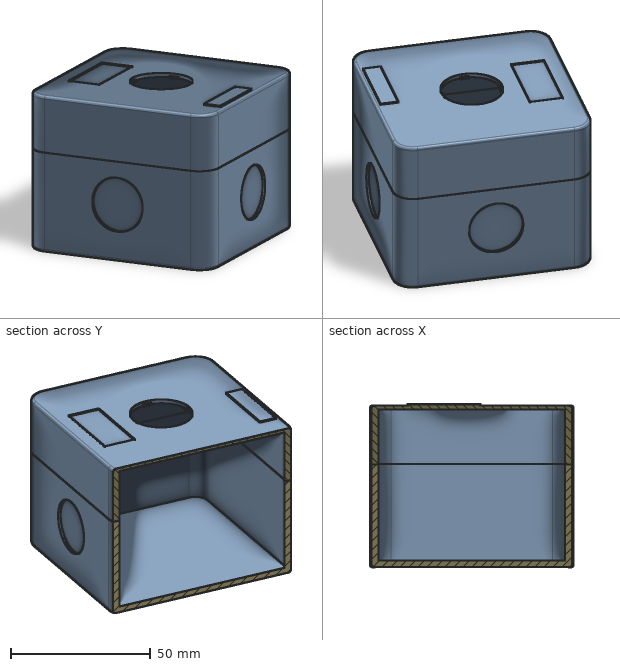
import cadquery as cq

side = 73.0
overall_height = 58.5
plate_rise = 0.45
enclosure_height = overall_height - plate_rise
seam_height = 37.0
corner_radius = 7.5
edge_radius = 1.1

wall = 2.5
roof_thickness = 1.5
roof_bottom = enclosure_height - roof_thickness
inner_side = side - 2 * wall
inner_corner_radius = corner_radius - wall

knockout_diameter = 20.0
knockout_depth = 1.0
knockout_height = 21.0

quarter_turns = (0, 90, 180, 270)

hole_diameter = 22.5
tab_width = 3.2
tab_reach = 0.95
tab_thickness = 0.5

pocket_length_x = 12.1
pocket_length_y = 27.95
pocket_depth = 0.45
pocket_center_x = -24.1
plate_length_x = 6.6
plate_length_y = 26.05
plate_center_x = 31.2
plate_center_y = -9.9


def rounded_block(width, radius, bottom, top):
    """Square block with rounded vertical corners, centred on the Z axis."""
    block = cq.Workplane("XY").workplane(offset=bottom).rect(width, width).extrude(top - bottom)
    return block.edges("|Z").fillet(radius)


def make_knockout(angle):
    """Shallow disc cut into one side of the base; angle 0 is the +X side."""
    disc = (
        cq.Workplane("YZ")
        .workplane(offset=side / 2 - knockout_depth)
        .center(0, knockout_height)
        .circle(knockout_diameter / 2)
        .extrude(knockout_depth)
    )
    return disc.rotate((0, 0, 0), (0, 0, 1), angle)


def make_base():
    """Open-topped box with a knockout recess in each side."""
    base = rounded_block(side, corner_radius, 0, seam_height)
    base = base.faces("<Z").edges().fillet(edge_radius)
    base = base.cut(rounded_block(inner_side, inner_corner_radius, wall, seam_height))
    for angle in quarter_turns:
        base = base.cut(make_knockout(angle))
    return base


def make_hole():
    """Round through hole with the four tabs left standing at its lower end."""
    roof = cq.Workplane("XY").workplane(offset=roof_bottom)
    hole = roof.circle(hole_diameter / 2).extrude(roof_thickness)
    tab_center = (hole_diameter - tab_reach) / 2
    for angle in quarter_turns:
        tab = roof.center(tab_center, 0).rect(tab_reach, tab_width).extrude(tab_thickness)
        hole = hole.cut(tab.rotate((0, 0, 0), (0, 0, 1), angle))
    return hole


def make_lid():
    """Hollow lid with the mounting hole, label pocket and raised nameplate."""
    lid = rounded_block(side, corner_radius, seam_height, enclosure_height)
    lid = lid.faces(">Z").edges().fillet(edge_radius)
    lid = lid.cut(rounded_block(inner_side, inner_corner_radius, seam_height, roof_bottom))
    lid = lid.cut(make_hole())

    top = cq.Workplane("XY").workplane(offset=enclosure_height)
    pocket = top.center(pocket_center_x, 0).rect(pocket_length_x, pocket_length_y).extrude(-pocket_depth)
    plate = (
        top.center(plate_center_x, plate_center_y)
        .rect(plate_length_x, plate_length_y)
        .extrude(plate_rise)
    )
    return lid.cut(pocket).union(plate)


base = make_base()
lid = make_lid()
result = cq.Compound.makeCompound([base.solids().val(), lid.solids().val()])